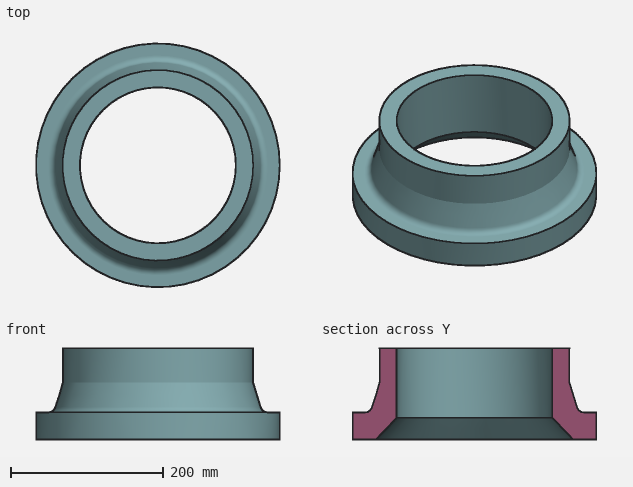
import cadquery as cq
import math

flange_radius = 160.0
total_height = 120.0
flange_thickness = 36.0

neck_radius = 250.0 / 2
neck_start = 75.0
skirt_foot_radius = 137.0
bore_radius = 204.0 / 2
fillet_radius = 9.5

flare_radius = 129.3
flare_height = 28.5

skirt_slope = (skirt_foot_radius - neck_radius) / (neck_start - flange_thickness)
skirt_angle = math.atan(skirt_slope)
tangent_length = fillet_radius * math.tan((math.pi / 2 - skirt_angle) / 2)

fillet_center = (skirt_foot_radius + tangent_length, flange_thickness + fillet_radius)


def fillet_point(angle):
    """Point on the fillet arc, at an angle measured from the outward direction."""
    return (
        fillet_center[0] + fillet_radius * math.cos(angle),
        fillet_center[1] + fillet_radius * math.sin(angle),
    )


fillet_end = math.pi + skirt_angle
fillet_start = 3 * math.pi / 2

profile = (
    cq.Workplane("XZ")
    .moveTo(flare_radius, 0)
    .lineTo(flange_radius, 0)
    .lineTo(flange_radius, flange_thickness)
    .lineTo(*fillet_point(fillet_start))
    .threePointArc(fillet_point((fillet_start + fillet_end) / 2), fillet_point(fillet_end))
    .lineTo(neck_radius, neck_start)
    .lineTo(neck_radius, total_height)
    .lineTo(bore_radius, total_height)
    .lineTo(bore_radius, flare_height)
    .close()
)

result = profile.revolve(360, (0, 0, 0), (0, 1, 0))